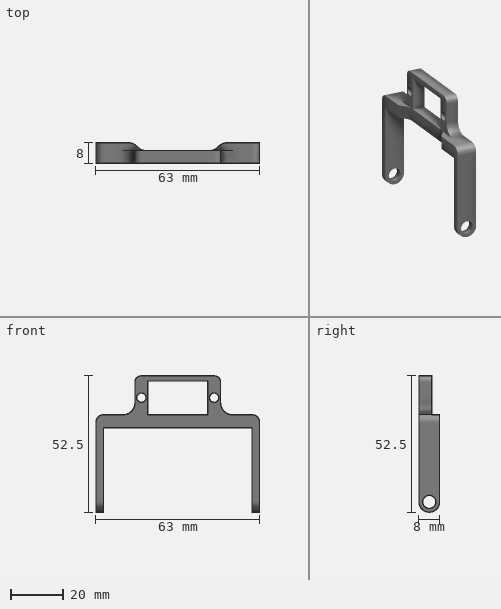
import cadquery as cq
import math

width = 63.0
depth = 8.0
height = 52.5

arm_thickness = 3.0
beam_top = 37.55
beam_bottom = 32.45
shoulder_radius = 3.0
pivot_hole_diameter = 5.0
arm_end_radius = depth / 2

frame_width = 33.0
frame_depth = 5.0
frame_corner_radius = 2.45
frame_foot_radius = 4.5
window_width = 23.0
window_top = 50.4
mount_hole_diameter = 3.5
mount_hole_spacing = 28.0
mount_hole_height = 44.05

step_radius = 4.5
step_outer_x = 18.95

half_width = width / 2
half_frame = frame_width / 2


def make_profile():
    """Front outline of the bracket, extruded through the full depth."""
    inner_x = half_width - arm_thickness
    beam_and_arms = (
        cq.Workplane("XZ")
        .moveTo(-half_width, 0)
        .lineTo(-half_width, beam_top)
        .lineTo(-half_frame, beam_top)
        .lineTo(-half_frame, height)
        .lineTo(half_frame, height)
        .lineTo(half_frame, beam_top)
        .lineTo(half_width, beam_top)
        .lineTo(half_width, 0)
        .lineTo(inner_x, 0)
        .lineTo(inner_x, beam_bottom)
        .lineTo(-inner_x, beam_bottom)
        .lineTo(-inner_x, 0)
        .close()
        .extrude(-depth)
    )

    def round_corners(body, x, z, radius):
        for side in (-1, 1):
            corner = cq.selectors.NearestToPointSelector((side * x, depth / 2, z))
            body = body.edges(corner).fillet(radius)
        return body

    body = round_corners(beam_and_arms, half_width, beam_top, shoulder_radius)
    body = round_corners(body, half_frame, height, frame_corner_radius)
    return round_corners(body, half_frame, beam_top, frame_foot_radius)


def make_back_recess():
    """Pocket behind the frame whose two ends are S-curves of equal tangent arcs."""
    step = depth - frame_depth
    half_rise = step / 2
    sweep = math.acos(1 - half_rise / step_radius)
    half_run = step_radius * math.sin(sweep)
    middle_x = step_outer_x - half_run
    inner_x = step_outer_x - 2 * half_run
    middle_y = frame_depth + half_rise

    mid_run = step_radius * math.sin(sweep / 2)
    mid_rise = step_radius * (1 - math.cos(sweep / 2))
    upper_x = step_outer_x - mid_run
    upper_y = depth - mid_rise
    lower_x = inner_x + mid_run
    lower_y = frame_depth + mid_rise

    return (
        cq.Workplane("XY")
        .moveTo(-step_outer_x, depth)
        .threePointArc((-upper_x, upper_y), (-middle_x, middle_y))
        .threePointArc((-lower_x, lower_y), (-inner_x, frame_depth))
        .lineTo(inner_x, frame_depth)
        .threePointArc((lower_x, lower_y), (middle_x, middle_y))
        .threePointArc((upper_x, upper_y), (step_outer_x, depth))
        .close()
        .extrude(height)
    )


def make_side_envelope():
    """Side outline that rounds the arm tips, with the pivot hole left open."""
    return (
        cq.Workplane("YZ")
        .moveTo(0, height)
        .lineTo(0, arm_end_radius)
        .threePointArc((depth / 2, 0), (depth, arm_end_radius))
        .lineTo(depth, height)
        .close()
        .moveTo(depth / 2, arm_end_radius)
        .circle(pivot_hole_diameter / 2)
        .extrude(half_width, both=True)
    )


def make_frame_openings():
    """Rectangular window and the two mounting holes beside it."""
    window = (
        cq.Workplane("XZ")
        .center(0, (window_top + beam_top) / 2)
        .rect(window_width, window_top - beam_top)
        .extrude(-depth)
    )
    holes = (
        cq.Workplane("XZ")
        .pushPoints([(side * mount_hole_spacing / 2, mount_hole_height) for side in (-1, 1)])
        .circle(mount_hole_diameter / 2)
        .extrude(-depth)
    )
    return window.union(holes)


def make_frame_back_clearance():
    """Space behind the frame and its curved feet, above the beam."""
    return (
        cq.Workplane("XY")
        .box(width, depth - frame_depth, height - beam_top, centered=(True, False, False))
        .translate((0, frame_depth, beam_top))
    )


result = (
    make_profile()
    .intersect(make_side_envelope())
    .cut(make_back_recess())
    .cut(make_frame_back_clearance())
    .cut(make_frame_openings())
)